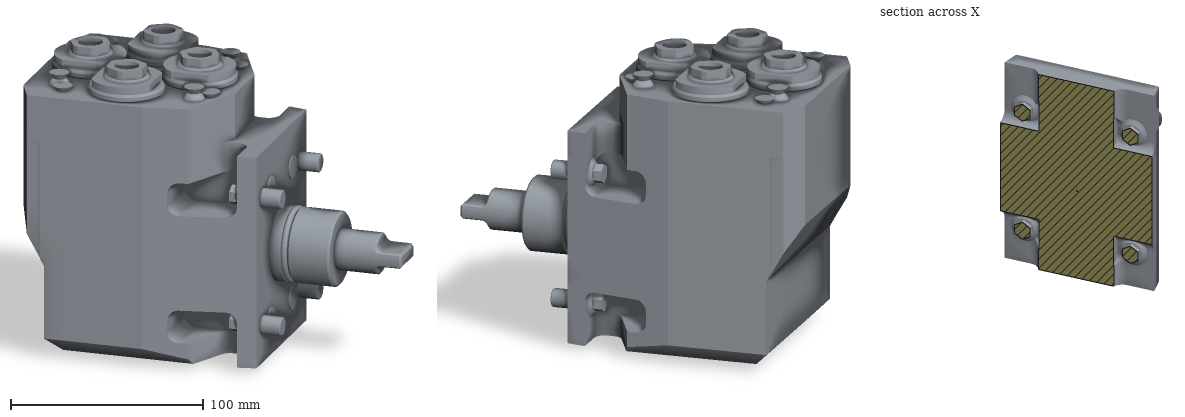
import cadquery as cq
import math


BACK_X = -129.15
LOWER_BACK_X = -112.9
TAPER_START_X = -58.9
HALF_WIDTH = 52.5
FRONT_HALF_WIDTH = 41.0
TOP_Z = 85.0
STEP_Z = 60.0
BOTTOM_Z = -56.0
BACK_SLOPE_TOP_Z = 20.0
BACK_SLOPE_BOTTOM_Z = -8.1
BOTTOM_CHAMFER = 8.0
CORNER_ANGLE = math.radians(25)
BACK_HALF_WIDTH = 37.5
NOSE_X = -20.1
NOSE_HALF_WIDTH = 16.0
CORNER_START_X = BACK_X + (HALF_WIDTH - BACK_HALF_WIDTH) * math.tan(CORNER_ANGLE)
SIDE_RECESS_END_X = -115.1
SIDE_RECESS_DEPTH = 0.5

SCREW_Y = 31.0
SCREW_Z = 35.0
POCKET_BACK_X = -46.0
POCKET_FRONT_X = -10.1
POCKET_HEIGHT = 18.0
POCKET_FLOOR_Y = 21.6
POCKET_RADIUS = 6.0
SCREW_DIAMETER = 10.0
SCREW_END_X = 11.2
SCREW_CHAMFER = 0.5
SCREW_FLANGE_BASE_RADIUS = 8.1
SCREW_FLANGE_TOP_RADIUS = 5.6
SCREW_FLANGE_HEIGHT = 1.7
SCREW_HEX_ACROSS_CORNERS = 10.4
SCREW_HEAD_X = -16.8

PAD_Y = 17.7
PAD_Z = 36.0
PAD_DIAMETER = 12.3
PAD_HEIGHT = 0.7

BARREL_RADIUS = 20.0
BARREL_END_X = 32.7
BARREL_CHAMFER = 1.1
GROOVE_START_X = 6.1
GROOVE_END_X = 10.5
GROOVE_RADIUS = 17.5
RING_CENTRE_X = 7.7
RING_CENTRE_RADIUS = 18.8
RING_SECTION_RADIUS = 1.6
SHAFT_RADIUS = 11.0
SHOULDER_X = 55.2
SHAFT_END_X = 69.35
SHAFT_END_CHAMFER = 1.2
TANG_THICKNESS = 8.0
TANG_FILLET = 2.7
TANG_EDGE_CHAMFER = 0.8

SPINDLE_CENTRE_X = -74.9
SPINDLE_OFFSET = 30.0
DISC_RADIUS = 20.0
DISC_TOP_Z = 89.4
DISC_CHAMFER = 0.8
DISC_TOP_CHAMFER_HEIGHT = 1.3
PLATE_RADIUS = 19.0
PLATE_TOP_Z = 93.3
PLATE_ACROSS_FLATS = 32.0
COLLAR_BOTTOM_RADIUS = 12.2
COLLAR_TOP_RADIUS = 11.0
COLLAR_TOP_Z = 94.5
NUT_ACROSS_FLATS = 19.5
NUT_CORNER_DIAMETER = 21.0
NUT_TURN = 30.0
NUT_TOP_Z = 99.2
NUT_BORE_DIAMETER = 13.0
NUT_BORE_DEPTH = 6.7

NOZZLE_OFFSET_X = 37.0
NOZZLE_Y = 30.0
BALL_RADIUS = 6.2
BALL_CENTRE_Z = 82.85
HEAD_RADIUS = 5.2
HEAD_NECK_RADIUS = 2.8
HEAD_HEIGHT = 3.5
NOZZLE_TOP_Z = 91.5
PLUG_TOP_Z = 87.4
PLUG_SPOTS = [(-107.3, 38.0), (-31.3, 23.2)]

COVER_RADIUS = 24.5
OVERALL_HEIGHT = 158.23
COVER_BOTTOM_Z = NUT_TOP_Z - OVERALL_HEIGHT
COVER_CHAMFER = 0.5


def nose_cut_x(y):
    """X on the slanted corner cut of the upper block at half width y."""
    return NOSE_X - (y - NOSE_HALF_WIDTH) * math.tan(CORNER_ANGLE)


def nose_corner():
    """Point where the slanted corner cut meets the converging side wall."""
    wall_slope = (FRONT_HALF_WIDTH - HALF_WIDTH) / -TAPER_START_X
    run = math.tan(CORNER_ANGLE)
    y = (FRONT_HALF_WIDTH + wall_slope * nose_cut_x(0)) / (1 + wall_slope * run)
    return nose_cut_x(y), y


def symmetric_prism(half_outline, bottom, top):
    """Prism whose plan outline is mirrored about the XZ plane."""
    other_half = [(x, -y) for x, y in reversed(half_outline)]
    plan = cq.Workplane("XY").workplane(offset=bottom).polyline(half_outline + other_half).close()
    return plan.extrude(top - bottom)


def cylinder_z(x, y, radius, bottom, top):
    return cq.Workplane("XY", origin=(x, y, bottom)).circle(radius).extrude(top - bottom)


def cylinder_x(y, z, radius, start, end):
    return cq.Workplane("YZ", origin=(start, y, z)).circle(radius).extrude(end - start)


def cone_z(x, y, bottom_radius, top_radius, bottom, top):
    cone = cq.Solid.makeCone(bottom_radius, top_radius, top - bottom, cq.Vector(x, y, bottom))
    return cq.Workplane(cone)


def make_housing():
    back = [(BACK_X, BACK_HALF_WIDTH), (CORNER_START_X, HALF_WIDTH), (TAPER_START_X, HALF_WIDTH)]
    flange = symmetric_prism(back + [(0, FRONT_HALF_WIDTH)], BOTTOM_Z, STEP_Z)
    upper = symmetric_prism(back + [nose_corner(), (NOSE_X, NOSE_HALF_WIDTH)], STEP_Z, TOP_Z)
    side_outline = [
        (BACK_X, TOP_Z),
        (BACK_X, BACK_SLOPE_TOP_Z),
        (LOWER_BACK_X, BACK_SLOPE_BOTTOM_Z),
        (LOWER_BACK_X, BOTTOM_Z + BOTTOM_CHAMFER),
        (LOWER_BACK_X + BOTTOM_CHAMFER, BOTTOM_Z),
        (0, BOTTOM_Z),
        (0, TOP_Z),
    ]
    side = cq.Workplane("XZ").polyline(side_outline).close().extrude(HALF_WIDTH, both=True)
    end_half_outline = [
        (0, BOTTOM_Z),
        (HALF_WIDTH - BOTTOM_CHAMFER, BOTTOM_Z),
        (HALF_WIDTH, BOTTOM_Z + BOTTOM_CHAMFER),
        (HALF_WIDTH, TOP_Z),
        (0, TOP_Z),
    ]
    end = cq.Workplane("YZ").polyline(end_half_outline).close().extrude(BACK_X)
    end = end.union(end.mirror("XZ"))
    return flange.union(upper).intersect(side).intersect(end)


def make_side_recess():
    """Shallow recess behind the corner cut of the -Y side wall."""
    length = SIDE_RECESS_END_X - BACK_X
    recess = cq.Workplane("XY", origin=(BACK_X, -HALF_WIDTH, BOTTOM_Z))
    return recess.rect(length, SIDE_RECESS_DEPTH, centered=False).extrude(STEP_Z - BOTTOM_Z)


def make_pocket():
    """Upper screw pocket with its open-topped notch, on the +Y side."""
    length = POCKET_FRONT_X - POCKET_BACK_X
    centre_x = (POCKET_FRONT_X + POCKET_BACK_X) / 2
    depth = HALF_WIDTH - POCKET_FLOOR_Y
    slot = (
        cq.Workplane("XY")
        .box(length, depth, POCKET_HEIGHT, centered=(True, False, True))
        .edges("|Y")
        .fillet(POCKET_RADIUS)
        .translate((centre_x, POCKET_FLOOR_Y, SCREW_Z))
    )
    notch_outline = [
        (nose_cut_x(HALF_WIDTH), HALF_WIDTH),
        (nose_cut_x(POCKET_FLOOR_Y), POCKET_FLOOR_Y),
        (POCKET_FRONT_X, POCKET_FLOOR_Y),
        (POCKET_FRONT_X, HALF_WIDTH),
    ]
    notch = (
        cq.Workplane("XY")
        .workplane(offset=SCREW_Z)
        .polyline(notch_outline)
        .close()
        .extrude(STEP_Z - SCREW_Z)
        .edges("|Z and <Y")
        .fillet(POCKET_RADIUS)
    )
    return slot.union(notch)


def make_screw():
    """Clamping screw with hexagonal head and conical flange, in the upper pocket on the +Y side."""
    shank = cylinder_x(SCREW_Y, SCREW_Z, SCREW_DIAMETER / 2, POCKET_FRONT_X, SCREW_END_X)
    shank = shank.faces(">X").chamfer(SCREW_CHAMFER)
    flange_x = POCKET_FRONT_X - SCREW_FLANGE_HEIGHT
    flange = cq.Workplane(
        cq.Solid.makeCone(
            SCREW_FLANGE_TOP_RADIUS,
            SCREW_FLANGE_BASE_RADIUS,
            SCREW_FLANGE_HEIGHT,
            cq.Vector(flange_x, SCREW_Y, SCREW_Z),
            cq.Vector(1, 0, 0),
        )
    )
    head = (
        cq.Workplane("YZ", origin=(SCREW_HEAD_X, SCREW_Y, SCREW_Z))
        .transformed(rotate=(0, 0, 90))
        .polygon(6, SCREW_HEX_ACROSS_CORNERS)
        .extrude(flange_x - SCREW_HEAD_X)
    )
    return shank.union(flange).union(head)


def four_ways(shape):
    """Copies of a shape mirrored about the XY and XZ planes."""
    pair = shape.union(shape.mirror("XZ"))
    return pair.union(pair.mirror("XY"))


def make_shaft():
    barrel = cylinder_x(0, 0, BARREL_RADIUS, 0, BARREL_END_X).faces(">X").chamfer(BARREL_CHAMFER)
    groove = cylinder_x(0, 0, BARREL_RADIUS, GROOVE_START_X, GROOVE_END_X)
    groove = groove.cut(cylinder_x(0, 0, GROOVE_RADIUS, GROOVE_START_X, GROOVE_END_X))
    ring_plane = cq.Plane(origin=(RING_CENTRE_X, RING_CENTRE_RADIUS, 0), xDir=(0, -1, 0), normal=(0, 0, 1))
    axis_ends = (RING_CENTRE_RADIUS, 0), (RING_CENTRE_RADIUS, 1)
    ring = cq.Workplane(ring_plane).circle(RING_SECTION_RADIUS).revolve(360, *axis_ends)
    shaft = cylinder_x(0, 0, SHAFT_RADIUS, 0, SHAFT_END_X)
    flat_length = SHAFT_END_X - SHOULDER_X
    flat = (
        cq.Workplane("XY")
        .box(flat_length, 2 * SHAFT_RADIUS, SHAFT_RADIUS, centered=(False, True, False))
        .translate((SHOULDER_X, 0, TANG_THICKNESS / 2))
        .edges("|Y and <X and <Z")
        .fillet(TANG_FILLET)
    )
    shaft = shaft.cut(flat).cut(flat.mirror("XY"))
    tang_region = cq.selectors.BoxSelector(
        (SHOULDER_X + TANG_FILLET, -SHAFT_RADIUS, -TANG_THICKNESS),
        (SHAFT_END_X, SHAFT_RADIUS, TANG_THICKNESS),
    )
    shaft = shaft.edges("|X").edges(tang_region).chamfer(TANG_EDGE_CHAMFER)
    shaft = shaft.faces(">X").chamfer(SHAFT_END_CHAMFER)
    return barrel.cut(groove).union(ring).union(shaft)


def make_spindle(angle):
    """Tool spindle with clamping nut, placed at the given angle around the spindle centre."""
    rim_bottom = DISC_TOP_Z - DISC_TOP_CHAMFER_HEIGHT
    disc = cylinder_z(0, 0, DISC_RADIUS, TOP_Z, rim_bottom).faces("<Z").chamfer(DISC_CHAMFER)
    disc = disc.union(cone_z(0, 0, DISC_RADIUS, DISC_RADIUS - DISC_CHAMFER, rim_bottom, DISC_TOP_Z))
    plate = cylinder_z(0, 0, PLATE_RADIUS, DISC_TOP_Z, PLATE_TOP_Z)
    flats = cq.Workplane("XY").box(2 * PLATE_RADIUS, PLATE_ACROSS_FLATS, 2 * PLATE_TOP_Z)
    collar = cone_z(0, 0, COLLAR_BOTTOM_RADIUS, COLLAR_TOP_RADIUS, PLATE_TOP_Z, COLLAR_TOP_Z)
    nut = (
        cq.Workplane("XY", origin=(0, 0, COLLAR_TOP_Z))
        .transformed(rotate=(0, 0, NUT_TURN))
        .polygon(6, NUT_ACROSS_FLATS, circumscribed=True)
        .extrude(NUT_TOP_Z - COLLAR_TOP_Z)
        .intersect(cylinder_z(0, 0, NUT_CORNER_DIAMETER / 2, COLLAR_TOP_Z, NUT_TOP_Z))
    )
    bore = cylinder_z(0, 0, NUT_BORE_DIAMETER / 2, NUT_TOP_Z - NUT_BORE_DEPTH, NUT_TOP_Z)
    spindle = disc.union(plate.intersect(flats)).union(collar).union(nut).cut(bore)
    spindle = spindle.translate((SPINDLE_OFFSET, 0, 0))
    return spindle.rotate((0, 0, 0), (0, 0, 1), angle).translate((SPINDLE_CENTRE_X, 0, 0))


def make_flared_head(x, y, top):
    return cone_z(x, y, HEAD_NECK_RADIUS, HEAD_RADIUS, top - HEAD_HEIGHT, top)


def make_nozzle(x, y):
    ball = cq.Workplane("XY", origin=(x, y, BALL_CENTRE_Z)).sphere(BALL_RADIUS)
    return ball.union(make_flared_head(x, y, NOZZLE_TOP_Z))


def make_cover():
    cover = cylinder_z(SPINDLE_CENTRE_X, 0, COVER_RADIUS, COVER_BOTTOM_Z, BOTTOM_Z)
    return cover.faces("<Z").chamfer(COVER_CHAMFER)


side_recess = make_side_recess()
result = make_housing().cut(four_ways(make_pocket()))
result = result.cut(side_recess).cut(side_recess.mirror("XZ"))

screw_and_pad = make_screw().union(cylinder_x(PAD_Y, PAD_Z, PAD_DIAMETER / 2, 0, PAD_HEIGHT))
result = result.union(four_ways(screw_and_pad)).union(make_shaft()).union(make_cover())

for spindle_angle in (0, 90, 180, 270):
    result = result.union(make_spindle(spindle_angle))

for side in (1, -1):
    for end in (1, -1):
        nozzle_x = SPINDLE_CENTRE_X + end * NOZZLE_OFFSET_X
        result = result.union(make_nozzle(nozzle_x, side * NOZZLE_Y))
    for plug_x, plug_y in PLUG_SPOTS:
        result = result.union(make_flared_head(plug_x, side * plug_y, PLUG_TOP_Z))